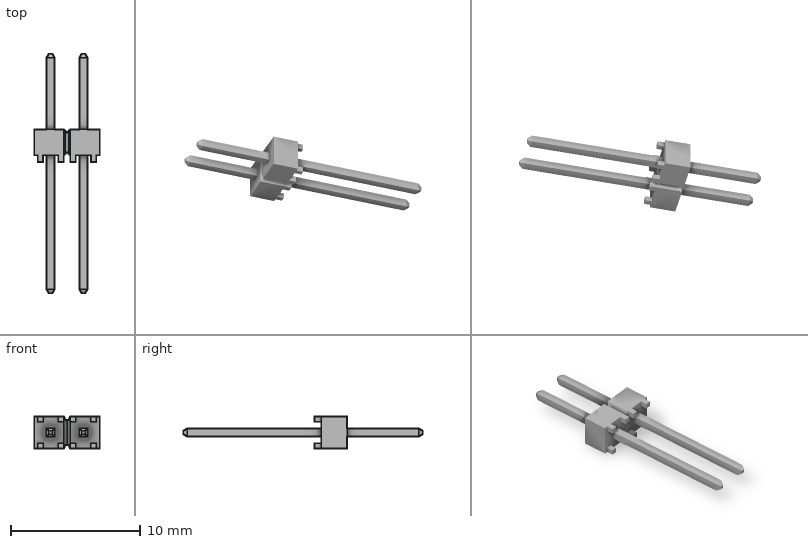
import cadquery as cq

PIN_COUNT = 2
PITCH = 2.54
HOUSING_WIDTH = PIN_COUNT * PITCH
HOUSING_DEPTH = 2.0
HOUSING_HEIGHT = 2.48

TOTAL_LENGTH = 18.54
PIN_FRONT_LENGTH = 10.68
PIN_SIZE = 0.63
TIP_SIZE = 0.28
TIP_LENGTH = 0.32

NOTCH_HALF_WIDTH = 0.25
V_NOTCH_DEPTH = 0.25
FLAT_NOTCH_FLOOR_HALF_WIDTH = 0.13
FLAT_NOTCH_DEPTH = 0.26

FOOT_LENGTH = 0.54
FOOT_HEIGHT = 0.43
FOOT_INNER_OFFSET = 0.57
FOOT_END_MARGIN = 0.28

PIN_POSITIONS = [(i - (PIN_COUNT - 1) / 2) * PITCH for i in range(PIN_COUNT)]
NOTCH_POSITIONS = [x + PITCH / 2 for x in PIN_POSITIONS[:-1]]


def make_pin(x):
    """Square pin with a tapered tip at each end."""
    front_shoulder = TIP_LENGTH - PIN_FRONT_LENGTH
    back_shoulder = front_shoulder + TOTAL_LENGTH - 2 * TIP_LENGTH
    shaft = cq.Workplane("XZ", origin=(x, back_shoulder, 0)).rect(PIN_SIZE, PIN_SIZE)
    shaft = shaft.extrude(back_shoulder - front_shoulder)
    for face in ("<Y", ">Y"):
        tip = shaft.faces(face).workplane(centerOption="CenterOfBoundBox").rect(PIN_SIZE, PIN_SIZE)
        tip = tip.workplane(offset=TIP_LENGTH).rect(TIP_SIZE, TIP_SIZE).loft(combine=False)
        shaft = shaft.union(tip)
    return shaft


def make_notches(x):
    """V grooves down the front and back faces, flat-bottomed grooves across the top and bottom."""
    front = cq.Workplane("XY", origin=(x, 0, -HOUSING_HEIGHT / 2)).polyline(
        [(-NOTCH_HALF_WIDTH, 0), (0, V_NOTCH_DEPTH), (NOTCH_HALF_WIDTH, 0)]
    )
    front = front.close().extrude(HOUSING_HEIGHT)
    back = front.mirror("XZ", (0, HOUSING_DEPTH / 2, 0))

    top_z = HOUSING_HEIGHT / 2
    floor_z = top_z - FLAT_NOTCH_DEPTH
    top = cq.Workplane("XZ", origin=(x, HOUSING_DEPTH, 0)).polyline(
        [
            (-NOTCH_HALF_WIDTH, top_z),
            (-FLAT_NOTCH_FLOOR_HALF_WIDTH, floor_z),
            (FLAT_NOTCH_FLOOR_HALF_WIDTH, floor_z),
            (NOTCH_HALF_WIDTH, top_z),
        ]
    )
    top = top.close().extrude(HOUSING_DEPTH)
    bottom = top.mirror("XY")
    return front.union(back).union(top).union(bottom)


def make_foot(x_from, x_to, side):
    """Foot between two X values, flush with the top (side = 1) or bottom (side = -1) face."""
    z_center = side * (HOUSING_HEIGHT - FOOT_HEIGHT) / 2
    return cq.Workplane("XY").box(x_to - x_from, FOOT_LENGTH, FOOT_HEIGHT).translate(
        ((x_from + x_to) / 2, -FOOT_LENGTH / 2, z_center)
    )


def foot_outer_offset(is_end):
    """Distance from pin centre to the far side of a foot, at a housing end or beside a notch."""
    margin = FOOT_END_MARGIN if is_end else NOTCH_HALF_WIDTH
    return PITCH / 2 - margin


def make_housing(pins):
    """Insulator block with notches, feet and a through hole fitting each pin."""
    housing = cq.Workplane("XY").box(HOUSING_WIDTH, HOUSING_DEPTH, HOUSING_HEIGHT)
    housing = housing.translate((0, HOUSING_DEPTH / 2, 0))
    for x in NOTCH_POSITIONS:
        housing = housing.cut(make_notches(x))
    for x in PIN_POSITIONS:
        left_offset = foot_outer_offset(x == PIN_POSITIONS[0])
        right_offset = foot_outer_offset(x == PIN_POSITIONS[-1])
        for side in (-1, 1):
            housing = housing.union(make_foot(x - left_offset, x - FOOT_INNER_OFFSET, side))
            housing = housing.union(make_foot(x + FOOT_INNER_OFFSET, x + right_offset, side))
    for pin in pins:
        housing = housing.cut(pin)
    return housing


pins = [make_pin(x) for x in PIN_POSITIONS]
housing = make_housing(pins)

result = cq.Compound.makeCompound([housing.val(), *[pin.val() for pin in pins]])